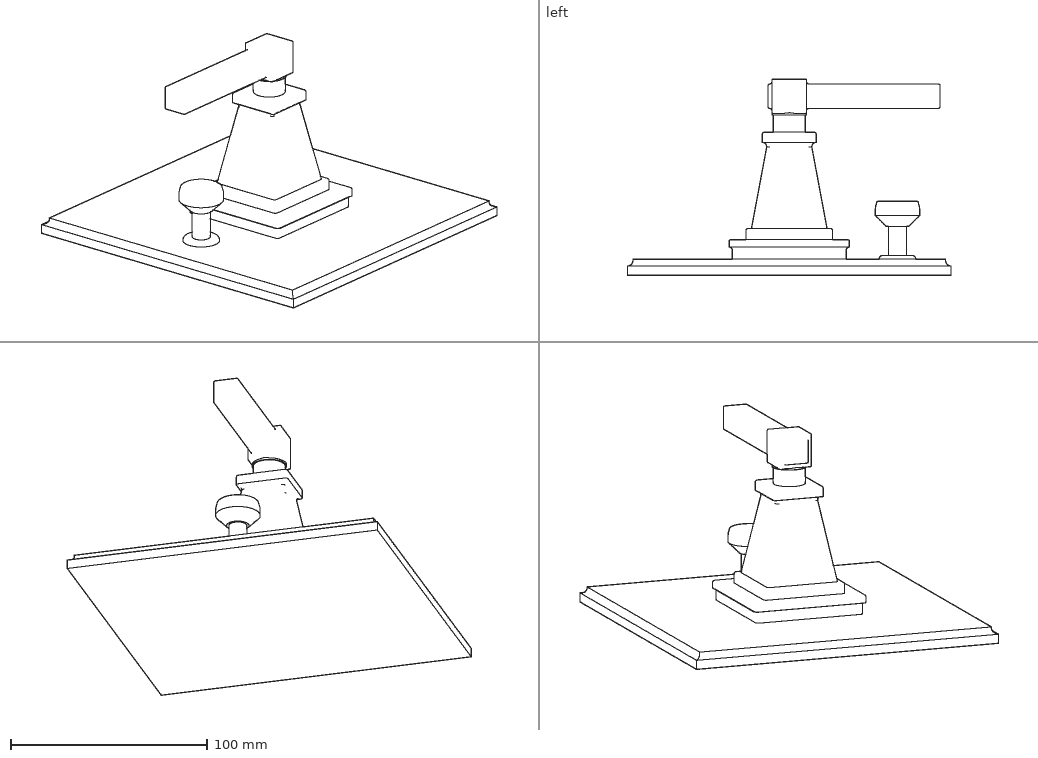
import cadquery as cq

PLATE_EDGE_Z = 4.8
PLATE_TOP_Z = 8.3
RIM_BOTTOM_Z = 14.4
RIM_TOP_Z = 18.2
FOOT_TOP_Z = 24.0
NECK_BOTTOM_Z = 65.4
CAP_BOTTOM_Z = 67.7
CAP_TOP_Z = 73.0
COLLAR_BOTTOM_Z = 81.7
HEAD_BOTTOM_Z = 82.5
HEAD_TOP_Z = 100.0

PLATE_SIZE = 165.1
PLATE_EDGE_INSET = 2.8
COVE_MIDPOINT_INSET = 2.1
COVE_MIDPOINT_Z = 5.8

CORNER_RADIUS = 1.5
ESCUTCHEON_SIZE = 58.3
RIM_SIZE = 61.3
RIM_CORNER_RADIUS = 2.0
RIM_EDGE_RADIUS = 0.7
ESCUTCHEON_COVE = 1.4
FOOT_SIZE = 44.2
FOOT_EDGE_RADIUS = 1.2
TAPER_BOTTOM_SIZE = 38.6
NECK_SIZE = 23.1
CAP_SIZE = 27.5
CAP_EDGE_RADIUS = 1.2
CAP_COVE = 2.1

STEM_DIAMETER = 16.3
COLLAR_DIAMETER = 17.5
HEAD_SIZE = 17.7
HEAD_EDGE_RADIUS = 0.7
BAR_WIDTH = 13.2
BAR_HEIGHT = 12.5
BAR_FRONT_Y = -77.0
BAR_BACK_Y = 10.9
BAR_EDGE_RADIUS = 1.0
BAR_COVE = 1.2

KNOB_Y = -55.1
KNOB_FLANGE_RADIUS = 9.4
KNOB_FLANGE_ROUND = 2.0
KNOB_STEM_RADIUS = 4.6
KNOB_CONE_BOTTOM_RADIUS = 5.8
KNOB_CONE_BOTTOM_Z = 25.0
KNOB_RADIUS = 11.4
KNOB_CONE_TOP_Z = 30.5
KNOB_BAND_TOP_Z = 33.5
KNOB_TOP_RADIUS = 10.7
KNOB_TOP_Z = 37.8
KNOB_TOP_ROUND = 1.0

TOLERANCE = 0.08


def block(size, bottom_z, top_z, corner_radius=CORNER_RADIUS):
    """Square upright block centred on the Z axis with rounded vertical edges."""
    height = top_z - bottom_z
    body = cq.Workplane("XY").workplane(offset=bottom_z).rect(size, size).extrude(height)
    return body.edges("|Z").fillet(corner_radius)


def upright_cylinder(diameter, bottom_z, top_z):
    """Cylinder on the Z axis between two heights."""
    return cq.Workplane("XY").workplane(offset=bottom_z).circle(diameter / 2).extrude(top_z - bottom_z)


def edges_within(body, size, bottom_z, top_z):
    """Edges lying inside a square region centred on the Z axis."""
    reach = size / 2 + TOLERANCE
    region = cq.selectors.BoxSelector(
        (-reach, -reach, bottom_z - TOLERANCE),
        (reach, reach, top_z + TOLERANCE),
        boundingbox=True,
    )
    return body.edges(region)


def plate_profile(plane):
    """Plate cross-section with hollow top edges, extruded across the plate."""
    half = PLATE_SIZE / 2
    top_half = half - PLATE_EDGE_INSET
    cove_half = half - COVE_MIDPOINT_INSET
    return (
        cq.Workplane(plane)
        .moveTo(-half, 0)
        .lineTo(half, 0)
        .lineTo(half, PLATE_EDGE_Z)
        .threePointArc((cove_half, COVE_MIDPOINT_Z), (top_half, PLATE_TOP_Z))
        .lineTo(-top_half, PLATE_TOP_Z)
        .threePointArc((-cove_half, COVE_MIDPOINT_Z), (-half, PLATE_EDGE_Z))
        .close()
        .extrude(half, both=True)
    )


def make_plate():
    """Crossing the two profiles mitres the moulding at the plate corners."""
    return plate_profile("XZ").intersect(plate_profile("YZ"))


def make_escutcheon():
    body = block(ESCUTCHEON_SIZE, PLATE_TOP_Z, RIM_BOTTOM_Z)
    rim = block(RIM_SIZE, RIM_BOTTOM_Z, RIM_TOP_Z, RIM_CORNER_RADIUS)
    rim = rim.faces(">Z").edges().fillet(RIM_EDGE_RADIUS)
    body = body.union(rim)
    return edges_within(body, ESCUTCHEON_SIZE, RIM_BOTTOM_Z, RIM_BOTTOM_Z).fillet(ESCUTCHEON_COVE)


def make_taper():
    return (
        cq.Workplane("XY")
        .workplane(offset=FOOT_TOP_Z)
        .rect(TAPER_BOTTOM_SIZE, TAPER_BOTTOM_SIZE)
        .workplane(offset=NECK_BOTTOM_Z - FOOT_TOP_Z)
        .rect(NECK_SIZE, NECK_SIZE)
        .loft()
        .edges("not(|X or |Y)")
        .fillet(CORNER_RADIUS)
    )


def make_pedestal():
    foot = block(FOOT_SIZE, RIM_TOP_Z, FOOT_TOP_Z).faces(">Z").edges().fillet(FOOT_EDGE_RADIUS)
    neck = block(NECK_SIZE, NECK_BOTTOM_Z, CAP_BOTTOM_Z)
    cap = block(CAP_SIZE, CAP_BOTTOM_Z, CAP_TOP_Z).faces(">Z").edges().fillet(CAP_EDGE_RADIUS)
    top = neck.union(cap)
    top = edges_within(top, NECK_SIZE, CAP_BOTTOM_Z, CAP_BOTTOM_Z).fillet(CAP_COVE)
    return foot.union(make_taper()).union(top)


def make_bar(center_z):
    """Lever bar along Y, rounded on every edge."""
    return (
        cq.Workplane("XY")
        .box(BAR_WIDTH, BAR_BACK_Y - BAR_FRONT_Y, BAR_HEIGHT)
        .edges()
        .fillet(BAR_EDGE_RADIUS)
        .translate((0, (BAR_FRONT_Y + BAR_BACK_Y) / 2, center_z))
    )


def make_handle():
    center_z = (HEAD_BOTTOM_Z + HEAD_TOP_Z) / 2
    head = block(HEAD_SIZE, HEAD_BOTTOM_Z, HEAD_TOP_Z, HEAD_EDGE_RADIUS)
    head = head.faces(">Z or <Z").edges().fillet(HEAD_EDGE_RADIUS)
    handle = head.union(make_bar(center_z))

    reach_x = BAR_WIDTH / 2 + TOLERANCE
    reach_z = BAR_HEIGHT / 2 + TOLERANCE
    for face_y in (-HEAD_SIZE / 2, HEAD_SIZE / 2):
        joint = cq.selectors.BoxSelector(
            (-reach_x, face_y - TOLERANCE, center_z - reach_z),
            (reach_x, face_y + TOLERANCE, center_z + reach_z),
            boundingbox=True,
        )
        handle = handle.edges(joint).fillet(BAR_COVE)

    stem = upright_cylinder(STEM_DIAMETER, CAP_TOP_Z, center_z)
    collar = upright_cylinder(COLLAR_DIAMETER, COLLAR_BOTTOM_Z, center_z)
    return handle.union(collar).union(stem)


def make_knob():
    """Turned knob: round-edged flange, slim stem, flared cone and crowned button."""
    flange_top_z = PLATE_TOP_Z + KNOB_FLANGE_ROUND
    return (
        cq.Workplane("XZ")
        .moveTo(0, PLATE_TOP_Z)
        .lineTo(KNOB_FLANGE_RADIUS, PLATE_TOP_Z)
        .radiusArc((KNOB_FLANGE_RADIUS - KNOB_FLANGE_ROUND, flange_top_z), -KNOB_FLANGE_ROUND)
        .lineTo(KNOB_STEM_RADIUS, flange_top_z)
        .lineTo(KNOB_STEM_RADIUS, KNOB_CONE_BOTTOM_Z)
        .lineTo(KNOB_CONE_BOTTOM_RADIUS, KNOB_CONE_BOTTOM_Z)
        .lineTo(KNOB_RADIUS, KNOB_CONE_TOP_Z)
        .lineTo(KNOB_RADIUS, KNOB_BAND_TOP_Z)
        .tangentArcPoint((KNOB_TOP_RADIUS, KNOB_TOP_Z - KNOB_TOP_ROUND), relative=False)
        .radiusArc((KNOB_TOP_RADIUS - KNOB_TOP_ROUND, KNOB_TOP_Z), -KNOB_TOP_ROUND)
        .lineTo(0, KNOB_TOP_Z)
        .close()
        .revolve(360, (0, 0, 0), (0, 1, 0))
        .translate((0, KNOB_Y, 0))
    )


result = make_plate()
for piece in (make_escutcheon(), make_pedestal(), make_handle(), make_knob()):
    result = result.union(piece)